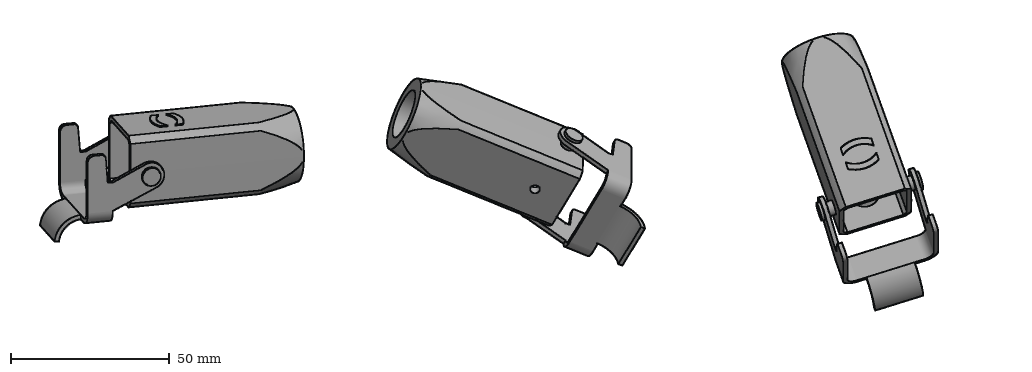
import math

import cadquery as cq


hood_width = 24.0
hood_length = 57.0
hood_round_radius = 15.5
side_slant = 0.12
wall = 1.5
nose_length = 14.2
cable_hole_diameter = 16.0
half_width = hood_width / 2
cavity_end = hood_length - nose_length

boss_y = 10.9
boss_top_diameter = 6.0
boss_height = 1.7
screw_hole_diameter = 3.05

band_height = 0.4
band_center_y = 15.5
band_half_width = 5.1
band_inner_end = 1.3
band_inner_apex = 3.1
band_outer_end = 3.7
band_outer_apex = 5.1

pin_y = 5.5
pin_diameter = 4.8
pin_head_diameter = 6.0
pin_span = 33.6

lever_width = 31.6
sheet = 1.5
bend_radius = 4.6
lever_bottom = -15.0
lever_front = -15.2
lever_back = -6.95
eye_radius = 4.4
prong_top = 8.6
prong_back_top_y = -9.4
prong_back_foot_y = -8.6
notch_floor = -0.9
prong_back_radius = 1.3
prong_front_radius = 2.0
notch_corner_radius = 0.5

tongue_width = 16.0
tongue_root_y = -14.84
tongue_radius = 9.0
tongue_end_angle = math.radians(6.0)


def cylinder_along_y(radius, y_start, y_end):
    return cq.Workplane("XZ", origin=(0, y_start, 0)).circle(radius).extrude(y_start - y_end)


def make_hood():
    """Square tube with corners turned round the axis and a nose that tapers to a circle."""
    slanted_half_width = half_width - side_slant
    body = (
        cq.Workplane("XZ")
        .moveTo(-half_width, 0)
        .lineTo(-slanted_half_width, half_width)
        .lineTo(slanted_half_width, half_width)
        .lineTo(half_width, 0)
        .lineTo(slanted_half_width, -half_width)
        .lineTo(-slanted_half_width, -half_width)
        .close()
        .extrude(-hood_length)
    )
    turned_envelope = (
        cq.Workplane("XY")
        .lineTo(hood_round_radius, 0)
        .lineTo(hood_round_radius, cavity_end)
        .lineTo(half_width, hood_length)
        .lineTo(0, hood_length)
        .close()
        .revolve(360, (0, 0, 0), (0, 1, 0))
    )
    cavity_width = hood_width - 2 * wall
    cavity = (
        cq.Workplane("XZ")
        .rect(cavity_width, cavity_width)
        .extrude(-cavity_end)
        .intersect(cylinder_along_y(hood_round_radius - wall, 0, cavity_end))
    )
    cable_hole = cylinder_along_y(cable_hole_diameter / 2, cavity_end, hood_length)
    return body.intersect(turned_envelope).cut(cavity).cut(cable_hole)


def add_screw_boss(hood):
    """Ridge with 45 degree flanks from the end wall to a round front, with a screw hole."""
    floor = wall - half_width
    top_radius = boss_top_diameter / 2
    base_radius = top_radius + boss_height
    cone = cq.Solid.makeCone(base_radius, top_radius, boss_height, cq.Vector(0, boss_y, floor))
    ridge = (
        cq.Workplane("XZ", origin=(0, boss_y, floor))
        .moveTo(-base_radius, 0)
        .lineTo(-top_radius, boss_height)
        .lineTo(top_radius, boss_height)
        .lineTo(base_radius, 0)
        .close()
        .extrude(boss_y - cavity_end)
    )
    hole = (
        cq.Workplane("XY", origin=(0, boss_y, -half_width))
        .circle(screw_hole_diameter / 2)
        .extrude(wall + boss_height)
    )
    return hood.union(ridge).union(cq.Workplane(cone)).cut(hole)


def make_band(side):
    """Raised band bounded by two arcs; side is +1 towards the rear and -1 towards the front."""
    return (
        cq.Workplane("XY", origin=(0, band_center_y, half_width))
        .moveTo(-band_half_width, side * band_inner_end)
        .lineTo(-band_half_width, side * band_outer_end)
        .threePointArc((0, side * band_outer_apex), (band_half_width, side * band_outer_end))
        .lineTo(band_half_width, side * band_inner_end)
        .threePointArc((0, side * band_inner_apex), (-band_half_width, side * band_inner_end))
        .close()
        .extrude(band_height)
    )


def make_pin(side):
    """Headed pin rooted in the hood wall; side is +1 or -1 along X."""
    root_x = half_width - wall
    shank = (
        cq.Workplane("YZ", origin=(side * root_x, pin_y, 0))
        .circle(pin_diameter / 2)
        .extrude(side * (lever_width / 2 - root_x))
    )
    head = (
        cq.Workplane("YZ", origin=(side * lever_width / 2, pin_y, 0))
        .circle(pin_head_diameter / 2)
        .extrude(side * (pin_span - lever_width) / 2)
    )
    return shank.union(head)


def eye_tangent_angle(y, z, side):
    """Direction from the pivot to where the line through (y, z) touches the eye."""
    dy = y - pin_y
    return math.atan2(z, dy) + side * math.acos(eye_radius / math.hypot(dy, z))


def eye_point(angle):
    return pin_y + eye_radius * math.cos(angle), eye_radius * math.sin(angle)


def make_lever():
    """U-shaped sheet lever: its side outline cut from a bent U profile."""
    bend_line = lever_bottom + bend_radius
    upper_tangent = eye_point(eye_tangent_angle(lever_back, notch_floor, -1))
    lower_tangent = eye_point(eye_tangent_angle(lever_back, bend_line, 1))
    outline = (
        cq.Workplane("YZ", origin=(-lever_width / 2, 0, 0))
        .moveTo(lever_front, lever_bottom)
        .lineTo(lever_front, prong_top)
        .lineTo(prong_back_top_y, prong_top)
        .lineTo(prong_back_foot_y, notch_floor)
        .lineTo(lever_back, notch_floor)
        .lineTo(*upper_tangent)
        .threePointArc((pin_y + eye_radius, 0), lower_tangent)
        .lineTo(lever_back, bend_line)
        .lineTo(lever_back, lever_bottom)
        .close()
        .extrude(lever_width)
    )
    rounded_corners = (
        (lever_front, prong_top, prong_front_radius),
        (prong_back_top_y, prong_top, prong_back_radius),
        (prong_back_foot_y, notch_floor, notch_corner_radius),
    )
    for y, z, radius in rounded_corners:
        corner = cq.selectors.NearestToPointSelector((0, y, z))
        outline = outline.edges("|X").edges(corner).fillet(radius)

    profile_height = 2 * (prong_top - lever_bottom)
    reach = pin_y + eye_radius - lever_front

    def u_section(width, bottom, radius):
        return (
            cq.Workplane("XZ", origin=(0, lever_front, bottom + profile_height / 2))
            .rect(width, profile_height)
            .extrude(-reach)
            .edges("|Y and <Z")
            .fillet(radius)
        )

    bent_sheet = u_section(lever_width, lever_bottom, bend_radius).cut(
        u_section(lever_width - 2 * sheet, lever_bottom + sheet, bend_radius - sheet)
    )
    return outline.intersect(bent_sheet)


def make_tongue():
    """Sheet strip curling down from the front edge of the lever."""
    center_z = lever_bottom + sheet - tongue_radius
    inner_radius = tongue_radius - sheet
    middle_angle = (math.pi / 2 + tongue_end_angle) / 2

    def arc_point(radius, angle):
        return tongue_root_y - radius * math.cos(angle), center_z + radius * math.sin(angle)

    return (
        cq.Workplane("YZ", origin=(-tongue_width / 2, 0, 0))
        .moveTo(tongue_root_y, lever_bottom)
        .lineTo(tongue_root_y, lever_bottom + sheet)
        .threePointArc(arc_point(tongue_radius, middle_angle), arc_point(tongue_radius, tongue_end_angle))
        .lineTo(*arc_point(inner_radius, tongue_end_angle))
        .threePointArc(arc_point(inner_radius, middle_angle), (tongue_root_y, lever_bottom))
        .close()
        .extrude(tongue_width)
    )


result = add_screw_boss(make_hood()).union(make_lever()).union(make_tongue())
for side in (-1, 1):
    result = result.union(make_band(side)).union(make_pin(side))